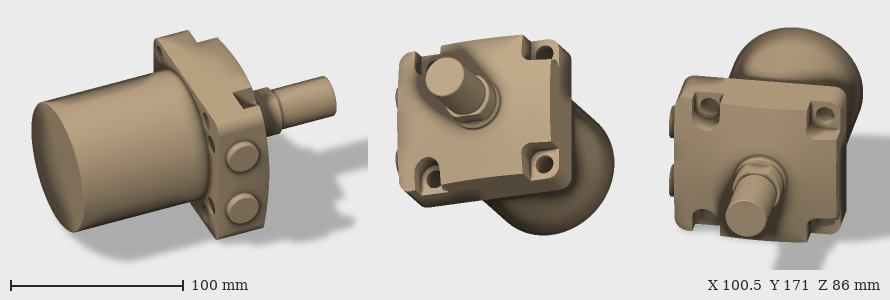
import cadquery as cq
import math


flange_left = -43.0
flange_right = 53.0
flange_height = 86.0
corner_radius = 7.0

crown_flat_radius = 17.0
crown_y = 41.5
crown_slope_angle = math.radians(15)

collar_diameter = 30.5
collar_top_y = 45.0
collar_chamfer = 1.0

barrel_diameter = 78.0
barrel_length = 79.0
barrel_chamfer = 0.5

bolt_offset = 34.0
bolt_hole_diameter = 11.0
bolt_seat_y = 20.0
seat_width = 17.0
seat_edge = bolt_offset - seat_width / 2
seat_corner_radius = 6.0

port_recess_x = 42.0
port_recess_z = 22.5
port_recess_diameter = 11.0
port_recess_depth = 1.5

plug_diameter = 19.0
plug_thickness = 4.5
plug_y = 14.0
plug_z = 19.0
plug_chamfer = 0.5

rod_diameter = 28.0
rod_tip_y = 92.0
shoulder_y = 57.0
shoulder_chamfer = 0.5
thread_diameter = 24.0
thread_start_y = 59.2
thread_chamfer = 0.5
relief_diameter = 22.6
relief_taper_length = 0.4
wrench_flat_width = 24.0
wrench_flat_start_y = 46.0

SIDES = (-1, 1)


def box_between(x_range, y_range, z_range):
    """Box given by its limits along each axis."""
    return (
        cq.Workplane("XY")
        .box(
            x_range[1] - x_range[0],
            y_range[1] - y_range[0],
            z_range[1] - z_range[0],
            centered=False,
        )
        .translate((x_range[0], y_range[0], z_range[0]))
    )


def cylinder_along_y(diameter, start_y, end_y, x=0.0, z=0.0):
    """Cylinder parallel to Y between two Y positions."""
    return cq.Workplane(
        cq.Solid.makeCylinder(
            diameter / 2,
            end_y - start_y,
            cq.Vector(x, start_y, z),
            cq.Vector(0, 1, 0),
        )
    )


def revolve_about_y(points):
    """Solid of revolution from (radius, y) points."""
    return cq.Workplane("XY").polyline(points).close().revolve(360, (0, 0), (0, 1))


def make_flange():
    """Rounded block trimmed by the sloped crown."""
    half_height = flange_height / 2
    block = box_between((flange_left, flange_right), (0, crown_y), (-half_height, half_height))
    block = block.edges("|Y").fillet(corner_radius)
    slope_end_radius = math.hypot(flange_right, half_height)
    slope_drop = (slope_end_radius - crown_flat_radius) * math.tan(crown_slope_angle)
    crown = revolve_about_y([
        (0, 0),
        (slope_end_radius, 0),
        (slope_end_radius, crown_y - slope_drop),
        (crown_flat_radius, crown_y),
        (0, crown_y),
    ])
    return block.intersect(crown)


def left_bolt_seat(side):
    """Corner pocket, open on the -X side and on the top or bottom, with a rounded inner corner."""
    pocket_z = sorted((side * seat_edge, side * flange_height))
    pocket = box_between((-flange_height, -seat_edge), (bolt_seat_y, crown_y), pocket_z)
    inner_edge = "<Z" if side > 0 else ">Z"
    return pocket.faces(">X").edges("|Y").edges(inner_edge).fillet(seat_corner_radius)


def right_bolt_seat(side):
    """Round-ended slot around the bolt, open on the top or bottom."""
    round_end = cylinder_along_y(seat_width, bolt_seat_y, crown_y, bolt_offset, side * bolt_offset)
    slot_z = sorted((side * bolt_offset, side * flange_height))
    slot = box_between((seat_edge, seat_edge + seat_width), (bolt_seat_y, crown_y), slot_z)
    return round_end.union(slot)


def make_housing():
    """Flange, collar and barrel, with bolt seats, port recesses and the rod bore."""
    barrel = cylinder_along_y(barrel_diameter, -barrel_length, 0).faces("<Y").chamfer(barrel_chamfer)
    collar = cylinder_along_y(collar_diameter, 0, collar_top_y).faces(">Y").chamfer(collar_chamfer)
    body = make_flange()
    for side in SIDES:
        body = body.cut(left_bolt_seat(side)).cut(right_bolt_seat(side))
        for x in (-bolt_offset, bolt_offset):
            body = body.cut(cylinder_along_y(bolt_hole_diameter, 0, crown_y, x, side * bolt_offset))
        recess = cylinder_along_y(
            port_recess_diameter, 0, port_recess_depth, port_recess_x, side * port_recess_z
        )
        body = body.cut(recess)
    body = body.union(barrel).union(collar)
    return body.cut(cylinder_along_y(rod_diameter, 0, collar_top_y))


def wrench_flat(side):
    """Cutter for one flat, with a 45 degree run-out towards the collar."""
    flat = wrench_flat_width / 2
    depth = rod_diameter / 2
    cutter = (
        cq.Workplane("YZ")
        .polyline([
            (shoulder_y, flat),
            (wrench_flat_start_y, flat),
            (wrench_flat_start_y - depth, flat + depth),
            (shoulder_y, flat + depth),
        ])
        .close()
        .extrude(rod_diameter / 2, both=True)
    )
    return cutter if side > 0 else cutter.mirror("XY")


def make_rod():
    """Rod seated in the housing bore, with wrench flats, a thread relief and a threaded end."""
    thread_radius = thread_diameter / 2
    relief_radius = relief_diameter / 2
    rod_radius = rod_diameter / 2
    rod = revolve_about_y([
        (0, 0),
        (rod_radius, 0),
        (rod_radius, shoulder_y - shoulder_chamfer),
        (rod_radius - shoulder_chamfer, shoulder_y),
        (relief_radius, shoulder_y),
        (relief_radius, thread_start_y - relief_taper_length),
        (thread_radius, thread_start_y),
        (thread_radius, rod_tip_y - thread_chamfer),
        (thread_radius - thread_chamfer, rod_tip_y),
        (0, rod_tip_y),
    ])
    for side in SIDES:
        rod = rod.cut(wrench_flat(side))
    return rod


def make_port_plug(side):
    """Round plug seated on the +X face of the flange."""
    return (
        cq.Workplane("YZ", origin=(flange_right, plug_y, side * plug_z))
        .circle(plug_diameter / 2)
        .extrude(plug_thickness)
        .faces(">X")
        .chamfer(plug_chamfer)
    )


housing = make_housing()
rod = make_rod()
port_plugs = [make_port_plug(side) for side in SIDES]

result = cq.Compound.makeCompound([housing.val(), rod.val(), *[plug.val() for plug in port_plugs]])